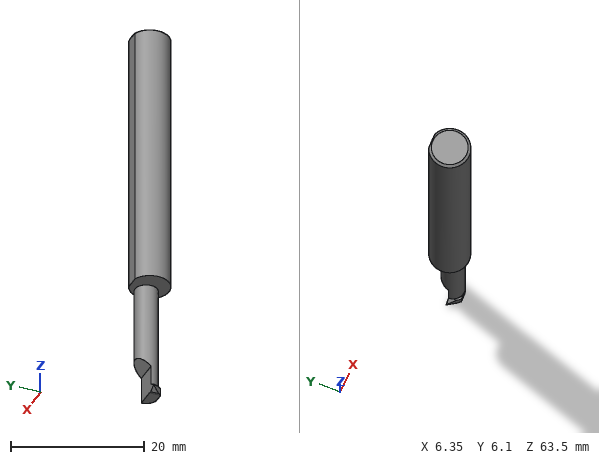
import cadquery as cq
import math

total_length = 63.5
shank_diameter = 6.35
shank_radius = shank_diameter / 2
shank_depth = 6.1
end_chamfer_radial = 0.42
end_chamfer_axial = 0.29

neck_length = 19.05
neck_diameter = 3.68
neck_radius = neck_diameter / 2
neck_center_x = shank_radius - neck_radius
neck_end_z = 0.12

rake_face_y = 0.0
rake_face_top_z = 4.55
runout_top_z = 6.3

tip_x = -1.45
nose_width = 0.14
point_half_angle = 30.0
head_root_x = -0.36
point_half_width = nose_width / 2 + (head_root_x - tip_x) * math.tan(math.radians(point_half_angle))
tip_z = point_half_width
head_top_z = tip_z + point_half_width
edge_clearance = neck_end_z
heel_x = 0.1
heel_y = -neck_radius
heel_overrun = 0.13
head_end_x = neck_center_x + heel_overrun


def make_shank():
    """Round shank with a chamfered top end and a flat on its +Y side."""
    shank_length = total_length - neck_length
    shank = cq.Workplane("XY").workplane(offset=neck_length).circle(shank_radius).extrude(shank_length)
    shank = shank.faces(">Z").edges().chamfer(end_chamfer_axial, end_chamfer_radial)
    flat_envelope = (
        cq.Workplane("XY")
        .workplane(offset=neck_length)
        .center(0, shank_depth / 2 - shank_radius)
        .rect(shank_diameter, shank_depth)
        .extrude(shank_length)
    )
    return shank.intersect(flat_envelope)


def make_neck():
    """Offset round neck, cut back to the rake face with a sloped runout."""
    neck = (
        cq.Workplane("XY")
        .workplane(offset=neck_end_z)
        .center(neck_center_x, 0)
        .circle(neck_radius)
        .extrude(neck_length - neck_end_z)
    )
    rake_cut = (
        cq.Workplane("YZ")
        .workplane(offset=neck_center_x)
        .moveTo(rake_face_y, 0)
        .lineTo(rake_face_y, rake_face_top_z)
        .lineTo(neck_radius, runout_top_z)
        .lineTo(neck_radius, 0)
        .close()
        .extrude(neck_radius, both=True)
    )
    return neck.cut(rake_cut)


def head_outline(plane, clearance):
    """Pointed XZ outline of the head, with the V drawn in on each side by the clearance."""
    top_z = head_top_z - clearance
    bottom_z = tip_z - point_half_width + clearance
    nose_half_width = nose_width / 2
    return (
        plane.moveTo(tip_x, tip_z - nose_half_width)
        .lineTo(tip_x, tip_z + nose_half_width)
        .lineTo(head_root_x, top_z)
        .lineTo(head_end_x, top_z)
        .lineTo(head_end_x, neck_end_z)
        .lineTo(heel_x, neck_end_z)
        .lineTo(head_root_x, bottom_z)
        .close()
    )


def make_head():
    """V-pointed cutting head with a sloped flank behind the cutting edges."""
    front = head_outline(cq.Workplane("XZ", origin=(0, rake_face_y, 0)), 0)
    blank = head_outline(front.workplane(offset=-heel_y), edge_clearance).loft(ruled=True)
    plan = (
        cq.Workplane("XY")
        .moveTo(tip_x, rake_face_y)
        .lineTo(heel_x, heel_y)
        .lineTo(head_end_x, heel_y)
        .lineTo(head_end_x, rake_face_y)
        .close()
        .extrude(head_top_z)
    )
    return blank.intersect(plan)


result = make_shank().union(make_neck()).union(make_head())